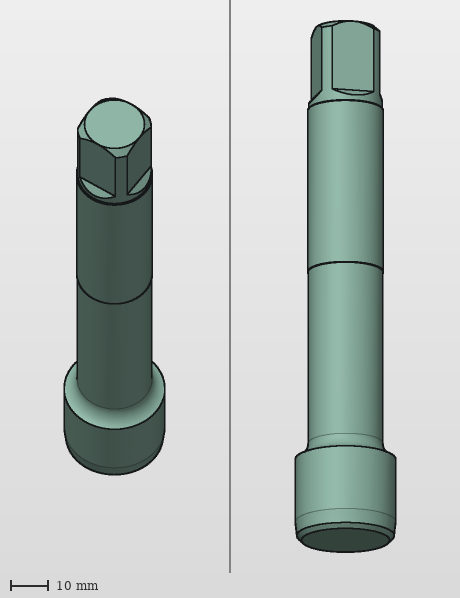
import cadquery as cq
import math

total_length = 140.0
head_diameter = 26.6

shank_diameter = 19.7
joint_height = 73.4
neck_fillet_radius = 4.6
shoulder_height = 22.1
taper_height = 5.0
taper_end_diameter = 25.8
head_chamfer_height = 1.3
bottom_diameter = 23.2

sleeve_diameter = 20.0
drive_diameter = 19.5
sleeve_top_height = 117.9
lower_edge_chamfer = (sleeve_diameter - shank_diameter) / 2
upper_edge_chamfer = (sleeve_diameter - drive_diameter) / 2
square_width = 15.8
flat_length = 18.9
tip_chamfer_height = 1.7


def revolve_profile(profile):
    """Turn a closed half profile, drawn in XZ, about the Z axis."""
    return profile.close().revolve(360, (0, 0, 0), (0, 1, 0))


def make_lower_body():
    """Plain round head, concave neck and lower shank."""
    head_radius = head_diameter / 2
    shank_radius = shank_diameter / 2
    arc_center_x = shank_radius + neck_fillet_radius
    arc_drop = math.sqrt(neck_fillet_radius**2 - (arc_center_x - head_radius) ** 2)
    neck_height = shoulder_height + arc_drop
    arc_mid_angle = math.atan2(arc_drop, arc_center_x - head_radius) / 2
    arc_middle = (
        arc_center_x - neck_fillet_radius * math.cos(arc_mid_angle),
        neck_height - neck_fillet_radius * math.sin(arc_mid_angle),
    )
    profile = (
        cq.Workplane("XZ")
        .lineTo(bottom_diameter / 2, 0)
        .lineTo(taper_end_diameter / 2, head_chamfer_height)
        .lineTo(head_radius, taper_height)
        .lineTo(head_radius, shoulder_height)
        .threePointArc(arc_middle, (shank_radius, neck_height))
        .lineTo(shank_radius, joint_height)
        .lineTo(0, joint_height)
    )
    return revolve_profile(profile)


def make_flat_cutter():
    """Cutter for the drive flat on the +X side, with a 45 degree runout at its foot."""
    flat_x = square_width / 2
    outer_x = head_diameter / 2
    runout_top = total_length - flat_length
    return (
        cq.Workplane("XZ")
        .moveTo(flat_x, total_length)
        .lineTo(flat_x, runout_top)
        .lineTo(outer_x, runout_top - (outer_x - flat_x))
        .lineTo(outer_x, total_length)
        .close()
        .extrude(head_diameter / 2, both=True)
    )


def make_upper_body():
    """Upper shank with chamfered ends, carrying the square drive."""
    sleeve_radius = sleeve_diameter / 2
    drive_radius = drive_diameter / 2
    profile = (
        cq.Workplane("XZ")
        .moveTo(0, joint_height)
        .lineTo(shank_diameter / 2, joint_height)
        .lineTo(sleeve_radius, joint_height + lower_edge_chamfer)
        .lineTo(sleeve_radius, sleeve_top_height - upper_edge_chamfer)
        .lineTo(drive_radius, sleeve_top_height)
        .lineTo(drive_radius, total_length - tip_chamfer_height)
        .lineTo(square_width / 2, total_length)
        .lineTo(0, total_length)
    )
    body = revolve_profile(profile)
    cutter = make_flat_cutter()
    for side in range(4):
        body = body.cut(cutter.rotate((0, 0, 0), (0, 0, 1), side * 90))
    return body


lower_body = make_lower_body()
upper_body = make_upper_body()

result = cq.Compound.makeCompound([lower_body.val(), upper_body.val()])